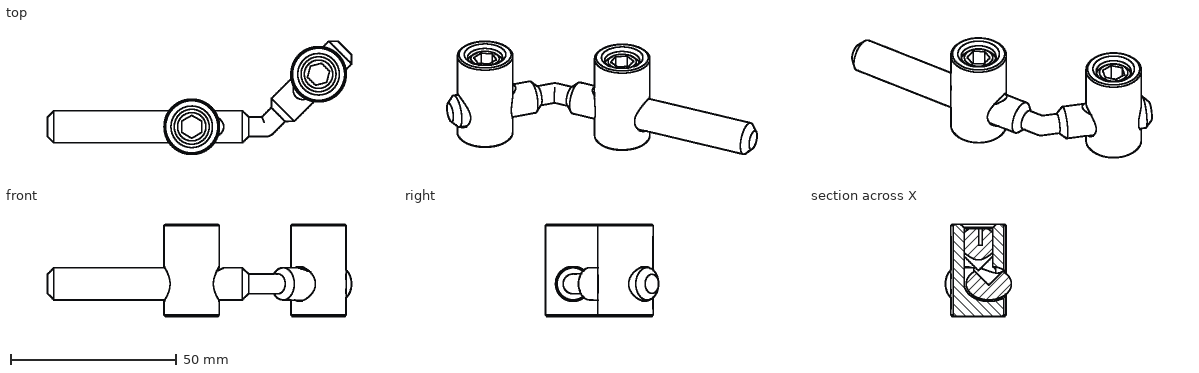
import cadquery as cq
import math


bend_angle = 45.0
pin_diameter = 9.8
neck_diameter = 6.0
neck_length = 5.23
neck_cone_length = 2.0
long_arm_length = 66.23
short_arm_length = 33.78
end_chamfer = 2.0
arms = [(long_arm_length, 180.0), (short_arm_length, bend_angle)]

housing_diameter = 16.8
housing_height = 28.0
housing_bottom = -9.9
housing_top = housing_bottom + housing_height
housing_distance = 22.5
housing_edge_chamfer = 0.5
cross_hole_diameter = 10.5
thread_diameter = 10.6
thread_mouth_chamfer = 1.0

screw_recess = 1.4
screw_top = housing_top - screw_recess
screw_edge_chamfer = 1.0
hex_across_flats = 6.0
hex_depth = 5.0

seat_radius = 5.3
seat_shift = 4.4
seat_apex = pin_diameter / 2 - seat_radius
screw_tip = seat_apex + seat_shift


def place_on_arm(shape, arm_direction):
    """Turn a shape modelled for an arm along +X to the arm's direction."""
    return shape.rotate((0, 0, 0), (0, 0, 1), arm_direction)


def make_pin_arm(length):
    """Arm along +X: neck, widening cone, shank and chamfered end, with the screw seat."""
    neck_radius = neck_diameter / 2
    pin_radius = pin_diameter / 2
    arm = (
        cq.Workplane("XY")
        .polyline([
            (0, 0),
            (0, neck_radius),
            (neck_length, neck_radius),
            (neck_length + neck_cone_length, pin_radius),
            (length - end_chamfer, pin_radius),
            (length, pin_radius - end_chamfer),
            (length, 0),
        ])
        .close()
        .revolve(360, (0, 0, 0), (1, 0, 0))
    )
    seat_height = 2 * seat_radius
    seat = cq.Solid.makeCone(
        0,
        seat_height,
        seat_height,
        pnt=cq.Vector(housing_distance - seat_shift, 0, seat_apex),
        dir=cq.Vector(0, 0, 1),
    )
    return arm.cut(cq.Workplane(seat))


def make_pin():
    """Both arms joined by a ball of the neck's diameter at the elbow."""
    pin = cq.Workplane("XY").sphere(neck_diameter / 2)
    for length, direction in arms:
        pin = pin.union(place_on_arm(make_pin_arm(length), direction))
    return pin


def make_housing():
    """Upright cylinder with a cross hole for the pin and a threaded hole from the top."""
    housing = (
        cq.Workplane("XY")
        .workplane(offset=housing_bottom)
        .center(housing_distance, 0)
        .circle(housing_diameter / 2)
        .extrude(housing_height)
        .edges()
        .chamfer(housing_edge_chamfer)
    )
    cross_hole = (
        cq.Workplane("YZ")
        .workplane(offset=housing_distance - housing_diameter)
        .circle(cross_hole_diameter / 2)
        .extrude(2 * housing_diameter)
    )
    thread_radius = thread_diameter / 2
    threaded_hole = (
        cq.Workplane("XZ")
        .polyline([
            (0, 0),
            (thread_radius, 0),
            (thread_radius, housing_top - thread_mouth_chamfer),
            (thread_radius + thread_mouth_chamfer, housing_top),
            (0, housing_top),
        ])
        .close()
        .revolve(360, (0, 0, 0), (0, 1, 0))
        .translate((housing_distance, 0, 0))
    )
    return housing.cut(cross_hole).cut(threaded_hole)


def make_screw():
    """Headless set screw with a cone point and a hexagon socket."""
    radius = thread_diameter / 2
    screw = (
        cq.Workplane("XZ")
        .polyline([
            (0, screw_tip),
            (radius, screw_tip + radius),
            (radius, screw_top - screw_edge_chamfer),
            (radius - screw_edge_chamfer, screw_top),
            (0, screw_top),
        ])
        .close()
        .revolve(360, (0, 0, 0), (0, 1, 0))
    )
    hex_across_corners = hex_across_flats / math.cos(math.radians(30))
    socket = (
        cq.Workplane("XY")
        .workplane(offset=screw_top - hex_depth)
        .polygon(6, hex_across_corners)
        .extrude(hex_depth)
        .rotate((0, 0, 0), (0, 0, 1), 30)
    )
    return screw.cut(socket).translate((housing_distance, 0, 0))


bodies = [make_pin().solids().val()]
for _, arm_direction in arms:
    bodies.append(place_on_arm(make_housing(), arm_direction).solids().val())
    bodies.append(place_on_arm(make_screw(), arm_direction).solids().val())

result = cq.Compound.makeCompound(bodies)